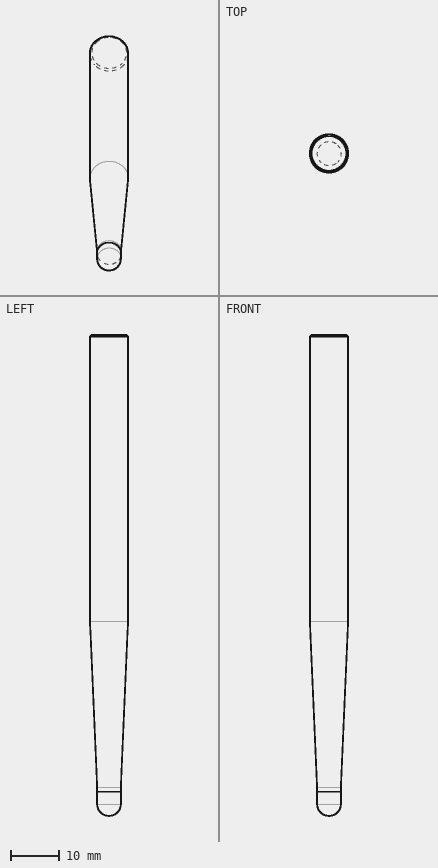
import cadquery as cq

total_length = 100.0
shank_diameter = 8.0
head_diameter = 5.0
head_length = 5.0
neck_length = 1.0
shank_start = 40.5
end_chamfer = 0.4

shank_radius = shank_diameter / 2
head_radius = head_diameter / 2
taper_start = head_length + neck_length


def make_head():
    """Straight cylinder ending in a half-sphere tip."""
    arc_offset = head_radius * 0.5 ** 0.5
    return (
        cq.Workplane("XZ")
        .moveTo(0, 0)
        .threePointArc((arc_offset, head_radius - arc_offset), (head_radius, head_radius))
        .lineTo(head_radius, head_length)
        .lineTo(0, head_length)
        .close()
        .revolve(360, (0, 0, 0), (0, 1, 0))
    )


def make_shank():
    """Short straight neck, taper and cylindrical shank with a chamfered end."""
    return (
        cq.Workplane("XZ")
        .moveTo(0, head_length)
        .lineTo(head_radius, head_length)
        .lineTo(head_radius, taper_start)
        .lineTo(shank_radius, shank_start)
        .lineTo(shank_radius, total_length)
        .lineTo(0, total_length)
        .close()
        .revolve(360, (0, 0, 0), (0, 1, 0))
        .faces(">Z")
        .chamfer(end_chamfer)
    )


head = make_head()
shank = make_shank()

result = cq.Compound.makeCompound([head.val(), shank.val()])